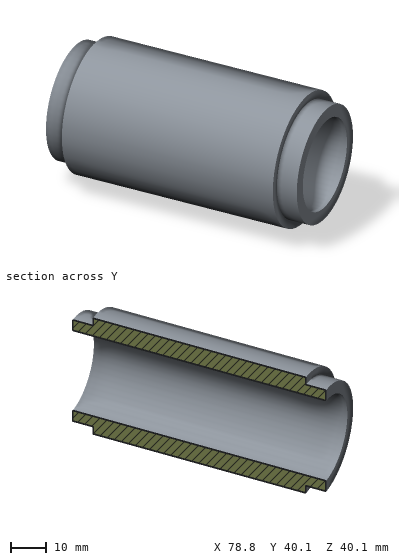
import cadquery as cq

total_length = 78.75
body_length = 66.2
body_diameter = 40.15
spigot_diameter = 35.1
bore_diameter = 27.55


def cylinder_along_x(diameter, length):
    """Solid cylinder on the X axis, centred on the origin."""
    return cq.Workplane("YZ", origin=(-length / 2, 0, 0)).circle(diameter / 2).extrude(length)


body = cylinder_along_x(body_diameter, body_length)
spigots = cylinder_along_x(spigot_diameter, total_length)
bore = cylinder_along_x(bore_diameter, total_length)

result = body.union(spigots).cut(bore)